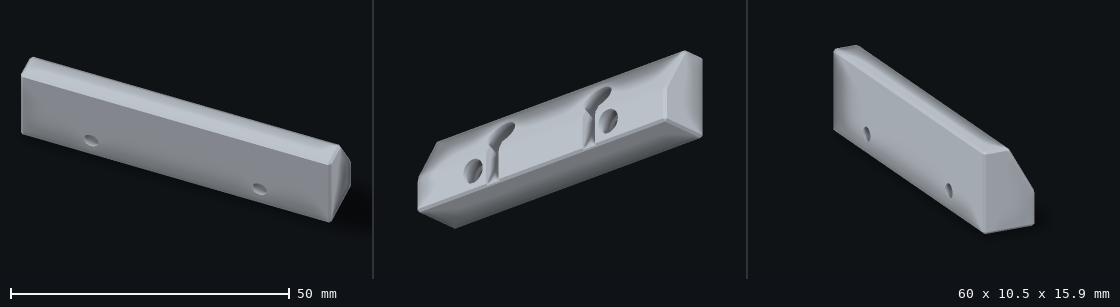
import cadquery as cq
import math

length = 60.0
depth = 10.5
height = 15.9
front_y = -depth / 2
back_y = depth / 2
edge_chamfer = 0.5

slope_angle = 60.0
top_width = 5.1
slope_top_y = front_y + top_width
slope_tangent = math.tan(math.radians(slope_angle))
back_height = height - (depth - top_width) * slope_tangent

screw_spacing = 32.5
screw_height = 3.95
screw_diameter = 2.8
counterbore_diameter = 4.7
counterbore_depth = 3.0

pocket_spacing = 23.15
pocket_diameter = 6.2
pocket_depth = 3.35
pocket_slot_width = 3.0
pocket_center_y = 2.9
pocket_center_z = height - (pocket_center_y - slope_top_y) * slope_tangent


def make_block():
    """Chamfered bar with a sloping upper rear face."""
    profile = [
        (front_y, 0),
        (back_y, 0),
        (back_y, back_height),
        (slope_top_y, height),
        (front_y, height),
    ]
    bar = cq.Workplane("YZ").polyline(profile).close().extrude(length / 2, both=True)
    return bar.edges().chamfer(edge_chamfer)


def make_screw_hole(x):
    """Through hole along Y with its counterbore in the back face."""
    back_plane = cq.Plane(origin=(x, back_y, screw_height), xDir=(1, 0, 0), normal=(0, 1, 0))
    shank = cq.Workplane(back_plane).circle(screw_diameter / 2).extrude(-depth)
    head = cq.Workplane(back_plane).circle(counterbore_diameter / 2).extrude(-counterbore_depth)
    return shank.union(head)


def make_keyhole_pocket(x):
    """Round pocket with a narrow slot running down the slope and out of the back."""
    angle = math.radians(slope_angle)
    slope_plane = cq.Plane(
        origin=(x, pocket_center_y, pocket_center_z),
        xDir=(1, 0, 0),
        normal=(0, math.sin(angle), math.cos(angle)),
    )
    slot_length = height
    bore = cq.Workplane(slope_plane).circle(pocket_diameter / 2).extrude(-pocket_depth)
    slot = (
        cq.Workplane(slope_plane)
        .center(0, slot_length / 2)
        .rect(pocket_slot_width, slot_length)
        .extrude(-pocket_depth)
    )
    return bore.union(slot)


result = make_block()
for side in (-1, 1):
    result = result.cut(make_screw_hole(side * screw_spacing / 2))
    result = result.cut(make_keyhole_pocket(side * pocket_spacing / 2))